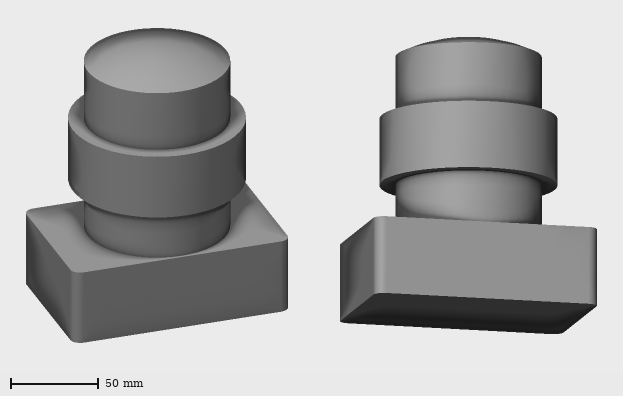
import cadquery as cq

base_width = 87.4
base_length = 132.0
base_height = 45.0
base_corner_radius = 6.0

body_diameter = 84.0
collar_diameter = 102.0
collar_bottom = 75.0
collar_height = 38.9
total_height = 160.0
dome_height = 10.0

body_radius = body_diameter / 2
collar_radius = collar_diameter / 2
collar_top = collar_bottom + collar_height
dome_bottom = total_height - dome_height

dome_radius = (body_radius**2 + dome_height**2) / (2 * dome_height)
dome_center = total_height - dome_radius
arc_mid_x = body_radius / 2
arc_mid_z = dome_center + (dome_radius**2 - arc_mid_x**2) ** 0.5


def make_base():
    return (
        cq.Workplane("XY")
        .rect(base_width, base_length)
        .extrude(base_height)
        .edges("|Z")
        .fillet(base_corner_radius)
    )


def make_body():
    """Revolve the half profile of the neck, collar and domed cap about Z."""
    return (
        cq.Workplane("XZ")
        .moveTo(0, base_height)
        .lineTo(body_radius, base_height)
        .lineTo(body_radius, collar_bottom)
        .lineTo(collar_radius, collar_bottom)
        .lineTo(collar_radius, collar_top)
        .lineTo(body_radius, collar_top)
        .lineTo(body_radius, dome_bottom)
        .threePointArc((arc_mid_x, arc_mid_z), (0, total_height))
        .close()
        .revolve(360, (0, 0, 0), (0, 1, 0))
    )


result = make_base().union(make_body())